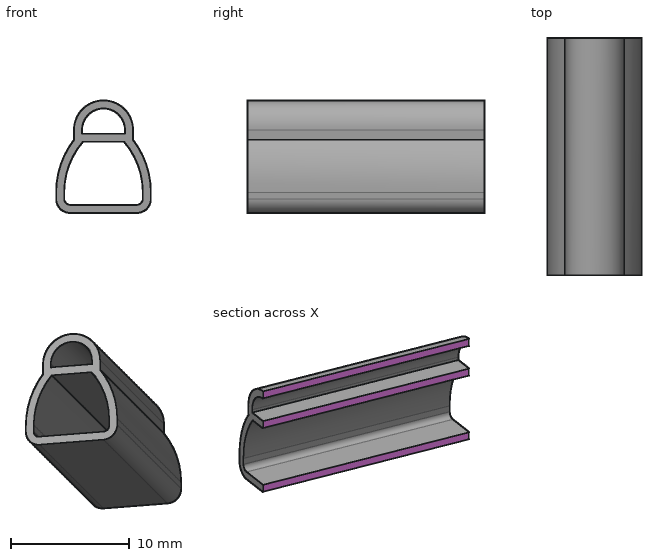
import cadquery as cq
import math

length = 20.0
base_width = 8.0
height = 9.5
wall = 0.7

dome_radius = 2.5
corner_radius = 1.2
side_top = 1.75
flank_radius = 7.2
shelf_bottom = 6.0

half_width = base_width / 2
dome_center_z = height - dome_radius
shelf_top = shelf_bottom + wall
flank_center_x = half_width - flank_radius


def flank_height(x, radius):
    """Height at which a flank arc of the given radius reaches x."""
    return side_top + math.sqrt(radius**2 - (x - flank_center_x) ** 2)


def flank_reach(z, radius):
    """Distance from the centre plane of a flank arc at height z."""
    return flank_center_x + math.sqrt(radius**2 - (z - side_top) ** 2)


def flank_middle(radius, end_x, end_z):
    """Point halfway along a flank arc that starts at the straight side."""
    half_angle = math.atan2(end_z - side_top, end_x - flank_center_x) / 2
    return (
        flank_center_x + radius * math.cos(half_angle),
        side_top + radius * math.sin(half_angle),
    )


def extrude_along_y(profile):
    """Extrude an XZ profile equally to both sides of the XZ plane."""
    return profile.extrude(length / 2, both=True)


def base_body(inset, top_x, top_z):
    """Rounded-bottom body with curved flanks, inset from the outer surface."""
    side_x = half_width - inset
    mid_x, mid_z = flank_middle(flank_radius - inset, top_x, top_z)
    profile = (
        cq.Workplane("XZ")
        .moveTo(-side_x, inset)
        .lineTo(side_x, inset)
        .lineTo(side_x, side_top)
        .threePointArc((mid_x, mid_z), (top_x, top_z))
        .lineTo(-top_x, top_z)
        .threePointArc((-mid_x, mid_z), (-side_x, side_top))
        .close()
    )
    body = extrude_along_y(profile)
    return body.faces("<Z").edges("|Y").fillet(corner_radius - inset)


def dome_body(radius, bottom_z):
    """Half-round body with straight sides down to a flat bottom."""
    profile = (
        cq.Workplane("XZ")
        .moveTo(-radius, bottom_z)
        .lineTo(radius, bottom_z)
        .lineTo(radius, dome_center_z)
        .threePointArc((0, dome_center_z + radius), (-radius, dome_center_z))
        .close()
    )
    return extrude_along_y(profile)


shoulder_z = flank_height(dome_radius, flank_radius)
outer = base_body(0, dome_radius, shoulder_z).union(dome_body(dome_radius, shelf_bottom))

lower_passage = base_body(wall, flank_reach(shelf_bottom, flank_radius - wall), shelf_bottom)
upper_passage = dome_body(dome_radius - wall, shelf_top)

result = outer.cut(lower_passage).cut(upper_passage)